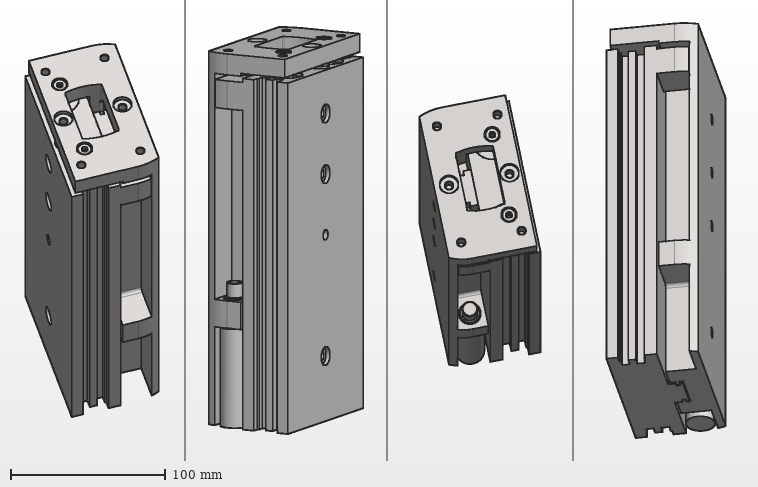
import cadquery as cq

WIDTH = 104.0
DEPTH = 60.0
HEIGHT = 246.8
HALF_WIDTH = WIDTH / 2

HOUSING_TOP = 231.5
DECK_Y = 33.3
STOP_BOTTOM = 210.5
STOP_TOP = 229.0
STOP_BACK_Y = 54.0
STOP_INNER_X = 28.1

RAIL_HALF_WIDTH = 12.0
RAIL_TOP_Y = 43.0
GROOVE_HALF_WIDTH = 9.5
GROOVE_BOTTOM_Y = 38.3
GROOVE_TOP_Y = 40.7

RECESS_BOTTOM_Y = 7.7
RECESS_TOP_Y = 25.0
RECESS_DEPTH = 4.5
WEB_BOTTOM_Y = 13.5
WEB_TOP_Y = 18.5
SLOT_DEPTH = 9.9
SLOT_CHAMFER = 1.0

SLIDE_BOTTOM = 0.7
SLIDE_FRONT_Y = 34.5
YOKE_FRONT_Y = 2.5
YOKE_BOTTOM = 234.7
YOKE_STEP_BOTTOM = 233.0
SHOULDER_Y = 45.0
BACK_HALF_WIDTH = 48.5
BACK_PLATE_Y = 54.5
WALL_X = 27.1
POCKET_FILLET = 2.5
BLOCK_BOTTOM = 66.0
BLOCK_TOP = 84.0
CHANNEL_HALF_WIDTH = 12.8
CHANNEL_TOP_Y = 43.5
RELIEF_HALF_WIDTH = 20.2
RELIEF_FILLET = 6.0
RELIEF_BOTTOM = 217.2

WINDOW_FRONT_Y = 17.0
WINDOW_BACK_Y = 42.0
WINDOW_HALF_WIDTH = 21.5
WINDOW_END_HALF_WIDTH = 19.7
WINDOW_FILLET = 1.0

HOLE_PITCH = 40.0
COUNTERBORE_DIAMETER = 12.0
COUNTERBORE_DEPTH = 3.0
LOWEST_FRONT_HOLE_Z = 43.0
FRONT_HOLE_DIAMETER = 6.7
YOKE_HOLE_FRONT_Y = 10.0
YOKE_HOLE_DIAMETER = 5.0
YOKE_HOLE_MOUTH = 5.7
YOKE_HOLE_DEPTH = 9.9

ROD_X = 27.6
ROD_Y = 16.0
ROD_DIAMETER = 12.0
ROD_BOTTOM = 49.4
ROD_RECESS_DIAMETER = 25.0
ROD_RECESS_DEPTH = 2.5
SHANK_DIAMETER = 5.7
HEAD_DIAMETER = 8.6
HEAD_BORE_DIAMETER = 10.0
HEAD_BOTTOM = 241.0
HEAD_TOP = 246.0
SOCKET_DIAMETER = 4.0
SOCKET_DEPTH = 2.5
SOCKET_CORE_DIAMETER = 2.0
SOCKET_CORE_DEPTH = 3.5

ABSORBER_X = -41.5
ABSORBER_Y = 44.7
ABSORBER_DIAMETER = 19.0
ABSORBER_CHAMFER = 0.7
NECK_DIAMETER = 14.3
NECK_TOP = 85.1
NECK_CHAMFER = 0.7
PLUNGER_DIAMETER = 10.0
PLUNGER_TOP = 94.8
PLUNGER_CHAMFER = 0.5

BUMPER_X = 7.7
BUMPER_Y = 8.6
BUMPER_DIAMETER = 12.8
BUMPER_TIP_DIAMETER = 8.5
BUMPER_BOTTOM = 222.0
BUMPER_SHOULDER = 233.0
BUMPER_TOP = 234.0


def block(x_range, y_range, z_range):
    """Box between two values on each axis."""
    lows, highs = zip(x_range, y_range, z_range)
    sizes = [high - low for low, high in zip(lows, highs)]
    return cq.Workplane("XY").box(*sizes, centered=False).translate(lows)


def cylinder(x, y, diameter, bottom, top):
    """Upright cylinder."""
    return cq.Workplane("XY", origin=(x, y, bottom)).circle(diameter / 2).extrude(top - bottom)


def cone(x, y, bottom_diameter, top_diameter, bottom, top):
    """Upright truncated cone."""
    height = top - bottom
    solid = cq.Solid.makeCone(bottom_diameter / 2, top_diameter / 2, height, cq.Vector(x, y, bottom))
    return cq.Workplane("XY").add(solid)


def both_sides(shape):
    """The shape together with its mirror image across the YZ plane."""
    return shape.union(shape.mirror("YZ"))


def body_outline(front_y, bottom, top):
    """Prism with the common rounded outline, from front_y to the back face."""
    inset = HALF_WIDTH - BACK_HALF_WIDTH
    rise = DEPTH - SHOULDER_Y
    radius = (inset**2 + rise**2) / (2 * inset)
    mid_y = SHOULDER_Y + rise / 2
    mid_x = HALF_WIDTH - radius + (radius**2 - (rise / 2) ** 2) ** 0.5
    return (
        cq.Workplane("XY", origin=(0, 0, bottom))
        .moveTo(-HALF_WIDTH, front_y)
        .lineTo(HALF_WIDTH, front_y)
        .lineTo(HALF_WIDTH, SHOULDER_Y)
        .threePointArc((mid_x, mid_y), (BACK_HALF_WIDTH, DEPTH))
        .lineTo(-BACK_HALF_WIDTH, DEPTH)
        .threePointArc((-mid_x, mid_y), (-HALF_WIDTH, SHOULDER_Y))
        .close()
        .extrude(top - bottom)
    )


def front_hole_heights():
    """Z of the four holes; the place between the lowest and the second one is empty."""
    return [LOWEST_FRONT_HOLE_Z + step * HOLE_PITCH for step in (0, 2, 3, 4)]


def front_holes():
    """Holes along Y through housing and slide."""
    points = [(0, z) for z in front_hole_heights()]
    return cq.Workplane("XZ").pushPoints(points).circle(FRONT_HOLE_DIAMETER / 2).extrude(-DEPTH)


def end_stops():
    """Two stops on the deck that follow the outline of the slide."""
    stops = body_outline(DECK_Y, STOP_BOTTOM, STOP_TOP)
    behind = block((-HALF_WIDTH, HALF_WIDTH), (STOP_BACK_Y, DEPTH), (STOP_BOTTOM, STOP_TOP))
    between = block((-STOP_INNER_X, STOP_INNER_X), (DECK_Y, DEPTH), (STOP_BOTTOM, STOP_TOP))
    return stops.cut(behind).cut(between)


def guide_rail():
    """Rail along Z with a ball groove in each side."""
    rail = block((-RAIL_HALF_WIDTH, RAIL_HALF_WIDTH), (DECK_Y, RAIL_TOP_Y), (0, STOP_TOP))
    groove = block(
        (GROOVE_HALF_WIDTH, RAIL_HALF_WIDTH), (GROOVE_BOTTOM_Y, GROOVE_TOP_Y), (0, STOP_TOP)
    )
    return rail.cut(both_sides(groove))


def sensor_slots():
    """Recess in each side with two slots in its floor, funnelled towards the recess walls."""
    outer_x = -HALF_WIDTH
    recess_x = outer_x + RECESS_DEPTH
    funnel_x = recess_x + SLOT_CHAMFER
    slot_x = outer_x + SLOT_DEPTH
    slots = (
        cq.Workplane("XY")
        .moveTo(outer_x, RECESS_BOTTOM_Y)
        .lineTo(recess_x, RECESS_BOTTOM_Y)
        .lineTo(funnel_x, RECESS_BOTTOM_Y + SLOT_CHAMFER)
        .lineTo(slot_x, RECESS_BOTTOM_Y + SLOT_CHAMFER)
        .lineTo(slot_x, WEB_BOTTOM_Y)
        .lineTo(recess_x, WEB_BOTTOM_Y)
        .lineTo(recess_x, WEB_TOP_Y)
        .lineTo(slot_x, WEB_TOP_Y)
        .lineTo(slot_x, RECESS_TOP_Y - SLOT_CHAMFER)
        .lineTo(funnel_x, RECESS_TOP_Y - SLOT_CHAMFER)
        .lineTo(recess_x, RECESS_TOP_Y)
        .lineTo(outer_x, RECESS_TOP_Y)
        .close()
        .extrude(HOUSING_TOP)
    )
    return both_sides(slots)


def front_counterbores():
    """Counterbores on the mounting face; the second hole from the bottom stays plain."""
    lowest, _, *upper = front_hole_heights()
    points = [(0, z) for z in (lowest, *upper)]
    radius = COUNTERBORE_DIAMETER / 2
    return cq.Workplane("XZ").pushPoints(points).circle(radius).extrude(-COUNTERBORE_DEPTH)


def make_housing():
    housing = block((-HALF_WIDTH, HALF_WIDTH), (0, DECK_Y), (0, HOUSING_TOP))
    housing = housing.union(end_stops()).union(guide_rail())
    housing = housing.cut(sensor_slots()).cut(front_holes()).cut(front_counterbores())
    for x in (-ROD_X, ROD_X):
        recess_bottom = HOUSING_TOP - ROD_RECESS_DEPTH
        housing = housing.cut(cylinder(x, ROD_Y, ROD_DIAMETER, ROD_BOTTOM, HOUSING_TOP))
        housing = housing.cut(cylinder(x, ROD_Y, ROD_RECESS_DIAMETER, recess_bottom, HOUSING_TOP))
    bumper_seat = cylinder(BUMPER_X, BUMPER_Y, BUMPER_DIAMETER, BUMPER_BOTTOM, HOUSING_TOP)
    return housing.cut(bumper_seat)


def side_pockets():
    """Pockets above and below the absorber block, open to the sides and to the housing."""
    y_range = (SLIDE_FRONT_Y, BACK_PLATE_Y)
    upper = block((WALL_X, HALF_WIDTH), y_range, (BLOCK_TOP, YOKE_STEP_BOTTOM))
    upper = upper.edges("|Y and <X").fillet(POCKET_FILLET)
    lower = block((WALL_X, HALF_WIDTH), y_range, (SLIDE_BOTTOM, BLOCK_BOTTOM))
    lower = lower.edges("|Y and <X and >Z").fillet(POCKET_FILLET)
    return both_sides(upper.union(lower))


def rail_channel():
    """Channel around the rail, with tongues left standing in the rail grooves."""
    channel = block(
        (-CHANNEL_HALF_WIDTH, CHANNEL_HALF_WIDTH),
        (SLIDE_FRONT_Y, CHANNEL_TOP_Y),
        (SLIDE_BOTTOM, RELIEF_BOTTOM),
    )
    tongue = block(
        (GROOVE_HALF_WIDTH, CHANNEL_HALF_WIDTH),
        (GROOVE_BOTTOM_Y, GROOVE_TOP_Y),
        (SLIDE_BOTTOM, RELIEF_BOTTOM),
    )
    relief = block(
        (-RELIEF_HALF_WIDTH, RELIEF_HALF_WIDTH),
        (SLIDE_FRONT_Y, CHANNEL_TOP_Y),
        (RELIEF_BOTTOM, YOKE_STEP_BOTTOM),
    )
    relief = relief.edges("|Y and >Z").fillet(RELIEF_FILLET)
    return channel.cut(both_sides(tongue)).union(relief)


def yoke_window():
    """Opening with bowed sides through the yoke and down to the bottom of the relief."""
    mid_y = (WINDOW_FRONT_Y + WINDOW_BACK_Y) / 2
    return (
        cq.Workplane("XY", origin=(0, 0, RELIEF_BOTTOM))
        .moveTo(-WINDOW_END_HALF_WIDTH, WINDOW_FRONT_Y)
        .lineTo(WINDOW_END_HALF_WIDTH, WINDOW_FRONT_Y)
        .threePointArc((WINDOW_HALF_WIDTH, mid_y), (WINDOW_END_HALF_WIDTH, WINDOW_BACK_Y))
        .lineTo(-WINDOW_END_HALF_WIDTH, WINDOW_BACK_Y)
        .threePointArc((-WINDOW_HALF_WIDTH, mid_y), (-WINDOW_END_HALF_WIDTH, WINDOW_FRONT_Y))
        .close()
        .extrude(HEIGHT - RELIEF_BOTTOM)
        .edges("|Z")
        .fillet(WINDOW_FILLET)
    )


def yoke_hole(x, y, top):
    """Blind hole with a chamfered mouth."""
    chamfer = (YOKE_HOLE_MOUTH - YOKE_HOLE_DIAMETER) / 2
    mouth = cone(x, y, YOKE_HOLE_DIAMETER, YOKE_HOLE_MOUTH, top - chamfer, top)
    return cylinder(x, y, YOKE_HOLE_DIAMETER, HEIGHT - YOKE_HOLE_DEPTH, top).union(mouth)


def yoke_holes():
    """Two rows of three holes; the middle hole of each row is counterbored."""
    seat = HEIGHT - COUNTERBORE_DEPTH
    holes = cq.Workplane("XY")
    for y in (YOKE_HOLE_FRONT_Y, YOKE_HOLE_FRONT_Y + HOLE_PITCH):
        for x in (-HOLE_PITCH, HOLE_PITCH):
            holes = holes.add(yoke_hole(x, y, HEIGHT))
        holes = holes.add(yoke_hole(0, y, seat))
        holes = holes.add(cylinder(0, y, COUNTERBORE_DIAMETER, seat, HEIGHT))
    return holes.combine()


def make_slide():
    slide = body_outline(SLIDE_FRONT_Y, SLIDE_BOTTOM, HEIGHT)
    yoke = block((-HALF_WIDTH, HALF_WIDTH), (YOKE_FRONT_Y, SLIDE_FRONT_Y), (YOKE_BOTTOM, HEIGHT))
    slide = slide.union(yoke)
    slide = slide.cut(side_pockets()).cut(rail_channel()).cut(yoke_window())
    slide = slide.cut(yoke_holes()).cut(front_holes())
    for x in (-ROD_X, ROD_X):
        slide = slide.cut(cylinder(x, ROD_Y, SHANK_DIAMETER, YOKE_BOTTOM, HEAD_BOTTOM))
        slide = slide.cut(cylinder(x, ROD_Y, HEAD_BORE_DIAMETER, HEAD_BOTTOM, HEIGHT))
    return slide.cut(cylinder(ABSORBER_X, ABSORBER_Y, NECK_DIAMETER, BLOCK_BOTTOM, BLOCK_TOP))


def make_piston_rod(x):
    """Rod with the screw that holds it to the yoke."""
    rod = cylinder(x, ROD_Y, ROD_DIAMETER, ROD_BOTTOM, YOKE_BOTTOM)
    shank = cylinder(x, ROD_Y, SHANK_DIAMETER, YOKE_BOTTOM, HEAD_BOTTOM)
    head = cylinder(x, ROD_Y, HEAD_DIAMETER, HEAD_BOTTOM, HEAD_TOP)
    socket = cylinder(x, ROD_Y, SOCKET_DIAMETER, HEAD_TOP - SOCKET_DEPTH, HEAD_TOP)
    core = cylinder(x, ROD_Y, SOCKET_CORE_DIAMETER, HEAD_TOP - SOCKET_CORE_DEPTH, HEAD_TOP)
    return rod.union(shank).union(head).cut(socket).cut(core)


def make_shock_absorber():
    """Absorber body below the block, neck through the block and plunger above it."""
    body = cylinder(ABSORBER_X, ABSORBER_Y, ABSORBER_DIAMETER, 0, BLOCK_BOTTOM)
    body = body.faces(">Z").chamfer(ABSORBER_CHAMFER)
    neck = cylinder(ABSORBER_X, ABSORBER_Y, NECK_DIAMETER, BLOCK_BOTTOM, NECK_TOP)
    neck = neck.faces(">Z").chamfer(NECK_CHAMFER)
    plunger = cylinder(ABSORBER_X, ABSORBER_Y, PLUNGER_DIAMETER, NECK_TOP, PLUNGER_TOP)
    plunger = plunger.faces(">Z").chamfer(PLUNGER_CHAMFER)
    return body.union(neck).union(plunger)


def make_bumper():
    """Round bumper with a conical tip."""
    base = cylinder(BUMPER_X, BUMPER_Y, BUMPER_DIAMETER, BUMPER_BOTTOM, BUMPER_SHOULDER)
    tip = cone(
        BUMPER_X, BUMPER_Y, BUMPER_DIAMETER, BUMPER_TIP_DIAMETER, BUMPER_SHOULDER, BUMPER_TOP
    )
    return base.union(tip)


housing = make_housing()
slide = make_slide()
piston_rods = [make_piston_rod(x) for x in (-ROD_X, ROD_X)]
shock_absorber = make_shock_absorber()
bumper = make_bumper()

bodies = [housing, slide, *piston_rods, shock_absorber, bumper]
result = cq.Compound.makeCompound([body.solids().val() for body in bodies])